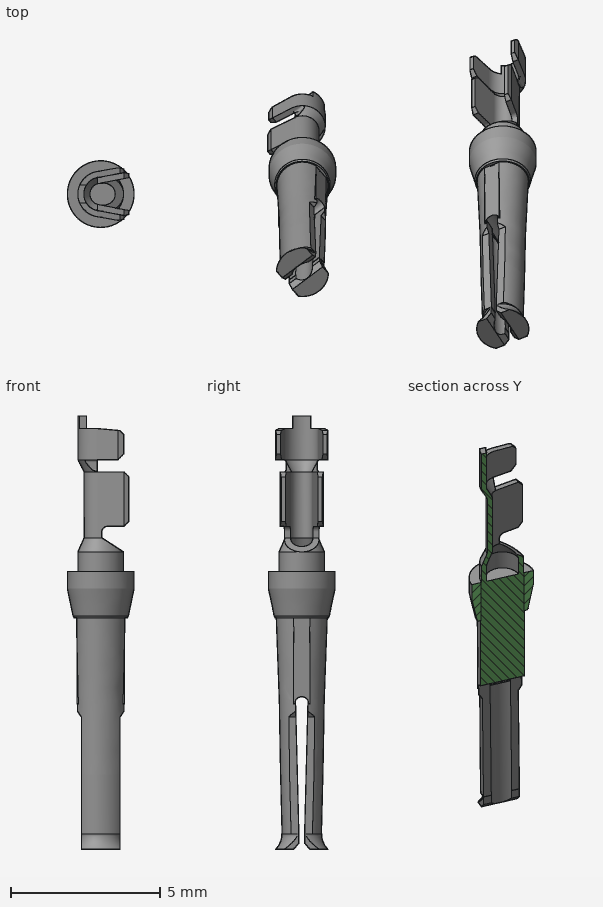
import cadquery as cq
import math

TIP_FLARE_TOP = 0.43
TIP_TOP = 0.51
TINE_WAIST_Z = 2.51
TINE_TRIM_TOP = 4.43
TINE_SHOULDER_Z = 5.01
SLOT_TOP = 5.10
SLEEVE_BOTTOM = 7.74
SLEEVE_LIP_TOP = 7.81
FLANGE_BOTTOM = 8.72
FLANGE_TOP = 9.30
NECK_TOP = 9.95
WIRE_BARREL_BOTTOM = 10.42
WIRE_WING_BOTTOM = 10.80
WIRE_BARREL_TOP = 12.63
GRIP_BARREL_BOTTOM = 13.03
GRIP_BARREL_TOP = 14.08
CONTACT_TOP = 14.50

FLANGE_RADIUS = 1.12
SLEEVE_CONE_RADIUS = 0.93
SLEEVE_LIP_RADIUS = 0.89

NECK_RADIUS = 0.765
WIRE_RADIUS = 0.56
SHEET = 0.20
NECK_CUT_INNER_X = 0.04
WIRE_WING_ANGLE = 11
WIRE_WING_END_X = 0.945
WIRE_WING_CHAMFER = 0.17
WIRE_STEM_X = 0.04
WIRE_STEM_FILLET = 0.18
GRIP_WING_ANGLE = 10
GRIP_WING_DROP = 0.08
GRIP_WING_END_X = 0.775
GRIP_WING_CHAMFER = 0.20
WING_BEVEL_DEPTH = 0.07
TRANSITION_EDGE_X = -0.11
NOTCH_HALF_WIDTH = 0.52
NOTCH_FILLET = 0.09
TONGUE_HALF_WIDTH = 0.305

TINE_ANGLE = 1.45
TINE_TOP_RADIUS = 0.855
TINE_SHOULDER_RADIUS = 0.825
TINE_WAIST_RADIUS = 0.845
TINE_INNER_Y = 0.275
TINE_HALF_WIDTH = 0.65
TINE_TRIM_RUNOUT = 55
SOCKET_RADIUS = 0.46
TIP_RADIUS = 0.875
TIP_NECK_RADIUS = 0.67
TIP_FLARE_SAG = 0.03
TIP_SLOT_HALF_WIDTH = 0.10
TIP_CHAMFER_Y = 0.17
TIP_CHAMFER_Z = 0.20
WEB_HALF_X = 0.80
SLOT_HALF_WIDTH = 0.235

MARGIN = 0.2
BIG = 4.0


def ring_section(outer, inner, bottom, top):
    """Cone or tube from (outer, inner) radii at the bottom to those at the top."""
    return (
        cq.Workplane("XZ")
        .polyline([(inner[0], bottom), (outer[0], bottom), (outer[1], top), (inner[1], top)])
        .close()
        .revolve(360, (0, 0), (0, 1))
    )


def block(x_range, y_range, z_range):
    """Axis-aligned box between the given limits."""
    size = [high - low for low, high in (x_range, y_range, z_range)]
    corner = (x_range[0], y_range[0], z_range[0])
    return cq.Workplane("XY").box(*size, centered=False).translate(corner)


def make_sleeve():
    """Flanged ring with a tapered lower end."""
    return (
        cq.Workplane("XZ")
        .moveTo(NECK_RADIUS, SLEEVE_BOTTOM)
        .lineTo(SLEEVE_LIP_RADIUS, SLEEVE_BOTTOM)
        .lineTo(SLEEVE_CONE_RADIUS, SLEEVE_LIP_TOP)
        .lineTo(FLANGE_RADIUS, FLANGE_BOTTOM)
        .lineTo(FLANGE_RADIUS, FLANGE_TOP)
        .lineTo(NECK_RADIUS, FLANGE_TOP)
        .close()
        .revolve(360, (0, 0), (0, 1))
    )


def wing_corner_cutter(end_x, chamfer, bottom, top):
    """Cuts both corners off the free edge of the wings."""
    cutter = cq.Workplane("XY")
    for corner_z, inward in ((bottom, 1), (top, -1)):
        cutter = cutter.add(
            cq.Workplane("XZ")
            .polyline([
                (end_x - chamfer, corner_z),
                (end_x, corner_z + inward * chamfer),
                (end_x + chamfer, corner_z + inward * chamfer),
                (end_x + chamfer, corner_z - inward * chamfer),
                (end_x - chamfer, corner_z - inward * chamfer),
            ])
            .close()
            .extrude(BIG / 2, both=True)
        )
    return cutter.combine()


def open_barrel(radius, wing_angle, end_x, chamfer, bottom, top):
    """C-shaped barrel open to +X, with tangent wings that spread by wing_angle."""
    lean = math.radians(wing_angle)
    inner = radius - SHEET

    def tangent_point(r, side):
        return (-r * math.sin(lean), side * r * math.cos(lean))

    def wing_y(r, x):
        return r / math.cos(lean) + x * math.tan(lean)

    bevel_x = end_x - chamfer
    tip_outer_y = wing_y(radius, end_x) - WING_BEVEL_DEPTH
    return (
        cq.Workplane("XY")
        .workplane(offset=bottom)
        .moveTo(end_x, tip_outer_y)
        .lineTo(bevel_x, wing_y(radius, bevel_x))
        .lineTo(*tangent_point(radius, 1))
        .threePointArc((-radius, 0), tangent_point(radius, -1))
        .lineTo(bevel_x, -wing_y(radius, bevel_x))
        .lineTo(end_x, -tip_outer_y)
        .lineTo(end_x, -wing_y(inner, end_x))
        .lineTo(*tangent_point(inner, -1))
        .threePointArc((-inner, 0), tangent_point(inner, 1))
        .lineTo(end_x, wing_y(inner, end_x))
        .close()
        .extrude(top - bottom)
    )


def make_neck():
    """Closed-bottom tube, narrowing to the wire barrel, with a sloped cut at +X."""
    core = cq.Workplane("XY").workplane(offset=SLEEVE_BOTTOM).circle(NECK_RADIUS)
    core = core.extrude(FLANGE_TOP - SLEEVE_BOTTOM)
    neck_bore = NECK_RADIUS - SHEET
    tube = ring_section((NECK_RADIUS, NECK_RADIUS), (neck_bore, neck_bore), FLANGE_TOP, NECK_TOP)
    cone = ring_section(
        (NECK_RADIUS, WIRE_RADIUS), (neck_bore, WIRE_RADIUS - SHEET), NECK_TOP, WIRE_BARREL_BOTTOM
    )
    sloped_cut = (
        cq.Workplane("XZ")
        .polyline([
            (NECK_CUT_INNER_X, WIRE_BARREL_BOTTOM),
            (NECK_RADIUS, NECK_TOP),
            (NECK_RADIUS, WIRE_BARREL_BOTTOM),
        ])
        .close()
        .extrude(BIG / 2, both=True)
    )
    return core.union(tube).union(cone.cut(sloped_cut))


def make_wire_barrel():
    """Barrel that is crimped on the wire; its wings start above a short stem."""
    barrel = open_barrel(
        WIRE_RADIUS, WIRE_WING_ANGLE, WIRE_WING_END_X, WIRE_WING_CHAMFER,
        WIRE_BARREL_BOTTOM, WIRE_BARREL_TOP,
    )
    stem_cut = block(
        (WIRE_STEM_X, BIG), (-BIG / 2, BIG / 2), (WIRE_BARREL_BOTTOM - MARGIN, WIRE_WING_BOTTOM)
    )
    stem_cut = stem_cut.edges("|Y and <X and >Z").fillet(WIRE_STEM_FILLET)
    corners = wing_corner_cutter(
        WIRE_WING_END_X, WIRE_WING_CHAMFER, WIRE_WING_BOTTOM, WIRE_BARREL_TOP
    )
    return barrel.cut(stem_cut).cut(corners)


def make_transition():
    """Half cone between the barrels, narrowed on both sides by rounded notches."""
    cone = ring_section(
        (WIRE_RADIUS, NECK_RADIUS),
        (WIRE_RADIUS - SHEET, NECK_RADIUS - SHEET),
        WIRE_BARREL_TOP,
        GRIP_BARREL_BOTTOM,
    )
    heights = (WIRE_BARREL_TOP, GRIP_BARREL_BOTTOM)
    cone = cone.cut(block((TRANSITION_EDGE_X, BIG), (-BIG / 2, BIG / 2), heights))
    notch = block((-BIG / 2, BIG / 2), (NOTCH_HALF_WIDTH, BIG), heights)
    notch = notch.edges("|X and <Y").fillet(NOTCH_FILLET)
    return cone.cut(notch).cut(notch.mirror("XZ"))


def make_grip_barrel():
    """Barrel that grips the insulation, with a tongue standing on its back."""
    barrel = open_barrel(
        NECK_RADIUS, GRIP_WING_ANGLE, GRIP_WING_END_X, GRIP_WING_CHAMFER,
        GRIP_BARREL_BOTTOM, CONTACT_TOP,
    )
    corners = wing_corner_cutter(
        GRIP_WING_END_X, GRIP_WING_CHAMFER, GRIP_BARREL_BOTTOM, GRIP_BARREL_TOP
    )
    tongue_heights = (GRIP_BARREL_TOP, CONTACT_TOP + MARGIN)
    around_tongue = block((-BIG, BIG), (-BIG, BIG), tongue_heights).cut(
        block((-BIG, 0), (-TONGUE_HALF_WIDTH, TONGUE_HALF_WIDTH), tongue_heights)
    )
    falling_edge = (
        cq.Workplane("XZ")
        .polyline([
            (TRANSITION_EDGE_X, GRIP_BARREL_TOP),
            (GRIP_WING_END_X, GRIP_BARREL_TOP),
            (GRIP_WING_END_X, GRIP_BARREL_TOP - GRIP_WING_DROP),
        ])
        .close()
        .extrude(BIG / 2, both=True)
    )
    return barrel.cut(around_tongue).cut(falling_edge).cut(corners)


def lean_inward(shape):
    """Tilts +Y tine geometry about its slot face at the sleeve, towards the axis."""
    pivot = (0, TINE_INNER_Y, SLEEVE_BOTTOM)
    pivot_end = (1, TINE_INNER_Y, SLEEVE_BOTTOM)
    return shape.rotate(pivot, pivot_end, -TINE_ANGLE)


def make_tine_shaft():
    """Leaning half round with both sides trimmed flat below the shoulder."""
    blank_top = SLEEVE_BOTTOM + MARGIN
    shaft = (
        cq.Workplane("XZ")
        .moveTo(0, 0)
        .lineTo(TINE_WAIST_RADIUS, 0)
        .lineTo(TINE_WAIST_RADIUS, TINE_WAIST_Z)
        .lineTo(TINE_SHOULDER_RADIUS, TINE_SHOULDER_Z)
        .lineTo(TINE_TOP_RADIUS, SLEEVE_BOTTOM)
        .lineTo(TINE_TOP_RADIUS, blank_top)
        .lineTo(0, blank_top)
        .close()
        .revolve(360, (0, 0), (0, 1))
        .intersect(block((-BIG, BIG), (TINE_INNER_Y, BIG), (0, blank_top)))
    )
    runout_rise = BIG * math.tan(math.radians(TINE_TRIM_RUNOUT))
    side_trim = (
        cq.Workplane("XZ")
        .moveTo(TINE_HALF_WIDTH, -MARGIN)
        .lineTo(TINE_HALF_WIDTH, TINE_TRIM_TOP)
        .lineTo(TINE_HALF_WIDTH + BIG, TINE_TRIM_TOP + runout_rise)
        .lineTo(TINE_HALF_WIDTH + BIG, -MARGIN)
        .close()
        .extrude(BIG, both=True)
    )
    shaft = lean_inward(shaft.cut(side_trim).cut(side_trim.mirror("YZ")))
    return shaft.intersect(block((-BIG, BIG), (-BIG, BIG), (TIP_TOP, SLEEVE_BOTTOM)))


def make_tine_tip():
    """Flared end of the +Y tine, round about the contact axis, chamfered at the slot."""
    flare_middle = (
        (TIP_RADIUS + TIP_NECK_RADIUS) / 2 - TIP_FLARE_SAG,
        TIP_FLARE_TOP / 2 - TIP_FLARE_SAG,
    )
    tip = (
        cq.Workplane("XZ")
        .lineTo(TIP_RADIUS, 0)
        .threePointArc(flare_middle, (TIP_NECK_RADIUS, TIP_FLARE_TOP))
        .lineTo(TIP_NECK_RADIUS, TIP_TOP)
        .lineTo(0, TIP_TOP)
        .close()
        .revolve(360, (0, 0), (0, 1))
        .intersect(
            block((-TINE_HALF_WIDTH, TINE_HALF_WIDTH), (TIP_SLOT_HALF_WIDTH, BIG), (0, TIP_TOP))
        )
    )
    slot_chamfer = (
        cq.Workplane("YZ")
        .polyline([
            (TIP_SLOT_HALF_WIDTH, TIP_CHAMFER_Z),
            (TIP_SLOT_HALF_WIDTH + TIP_CHAMFER_Y, 0),
            (TIP_SLOT_HALF_WIDTH, 0),
        ])
        .close()
        .extrude(BIG, both=True)
    )
    return tip.cut(slot_chamfer)


def make_tine():
    """The +Y tine with its half of the socket bore."""
    socket = cq.Workplane("XY").workplane(offset=-MARGIN).circle(SOCKET_RADIUS)
    socket = lean_inward(socket.extrude(SLOT_TOP + MARGIN))
    return make_tine_shaft().union(make_tine_tip()).cut(socket)


def make_web():
    """Flat-sided web joining the tines above the round-ended slot."""
    slot_centre = SLOT_TOP - SLOT_HALF_WIDTH
    web = block(
        (-WEB_HALF_X, WEB_HALF_X), (-TINE_INNER_Y, TINE_INNER_Y), (slot_centre, SLEEVE_BOTTOM)
    )
    slot_end = cq.Workplane("YZ").center(0, slot_centre).circle(SLOT_HALF_WIDTH)
    return web.cut(slot_end.extrude(BIG, both=True))


def make_contact():
    """Whole contact: neck and barrels above, web and mirrored tines below."""
    tine = make_tine()
    contact = make_neck()
    for section in (
        make_wire_barrel(),
        make_transition(),
        make_grip_barrel(),
        make_web(),
        tine,
        tine.mirror("XZ"),
    ):
        contact = contact.union(section)
    return contact


sleeve = make_sleeve()
contact = make_contact()

result = cq.Compound.makeCompound([sleeve.val(), *contact.vals()])